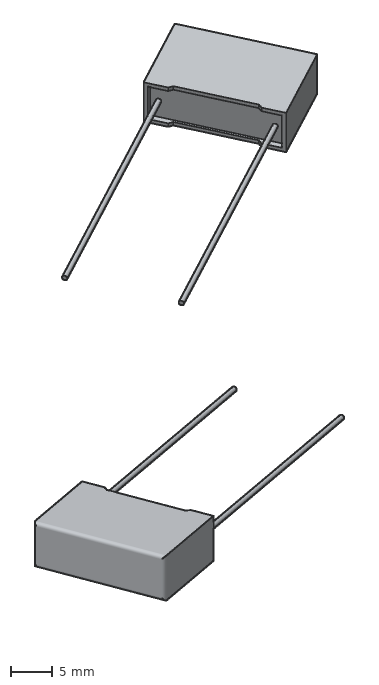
import cadquery as cq

total_length = 47.1
case_width = 18.3
case_length = 12.15
case_height = 6.2

wall = 0.55
back_edge_radius = 0.45
foot_width = 3.15
notch_depth = 0.447
notch_run = 0.5

potting_recess = 0.8
lead_pitch = 15.0
lead_diameter = 0.7
lead_protrusion = total_length - case_length

cavity_width = case_width - 2 * wall
cavity_height = case_height - 2 * wall
cavity_depth = case_length - wall


def block(width, height, front_y, back_y):
    """Block centred on X and Z, reaching from front_y to back_y."""
    return cq.Workplane("XY").box(width, back_y - front_y, height).translate((0, (front_y + back_y) / 2, 0))


def standoff_notch():
    """Trapezoidal relief between the feet, cut through both broad walls."""
    mouth_half = case_width / 2 - foot_width
    top_half = mouth_half - notch_run
    return (
        cq.Workplane("XY")
        .polyline([(-mouth_half, 0), (mouth_half, 0), (top_half, notch_depth), (-top_half, notch_depth)])
        .close()
        .extrude(case_height, both=True)
    )


def make_case():
    """Open-fronted cup with rounded back edges and a notched rim."""
    outer = block(case_width, case_height, 0, case_length).faces(">Y").edges().fillet(back_edge_radius)
    cavity = block(cavity_width, cavity_height, 0, cavity_depth)
    return outer.cut(cavity).cut(standoff_notch())


def make_potting():
    """Filling of the case, set back from the rim."""
    return block(cavity_width, cavity_height, potting_recess, cavity_depth)


def make_lead(x):
    """Round wire that starts on the face of the potting."""
    return (
        cq.Workplane("XZ", origin=(x, potting_recess, 0))
        .circle(lead_diameter / 2)
        .extrude(potting_recess + lead_protrusion)
    )


case = make_case()
potting = make_potting()
leads = [make_lead(side * lead_pitch / 2) for side in (-1, 1)]

result = cq.Compound.makeCompound([case.val(), potting.val(), *[lead.val() for lead in leads]])